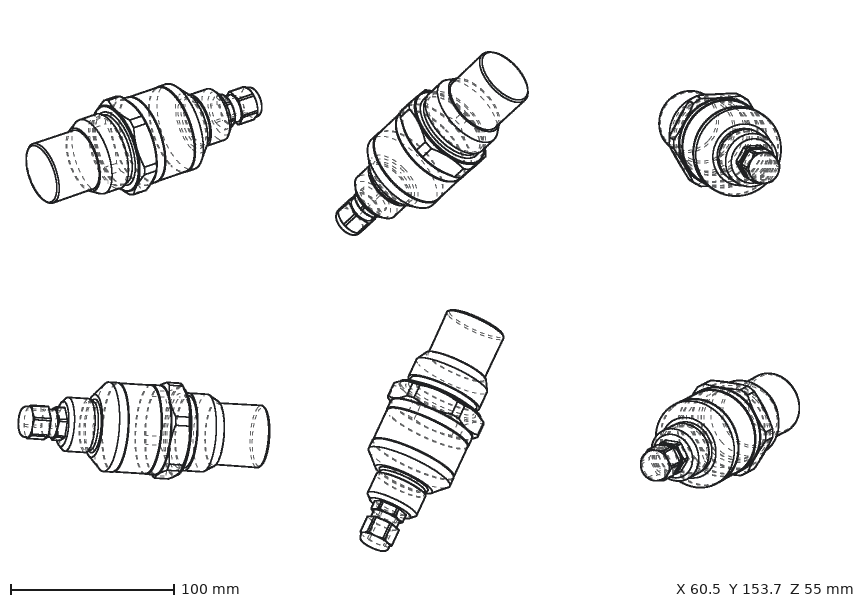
import cadquery as cq
import math

length = 153.7

nose_end = 29.8
taper_end = 36.1
front_collar_end = 48.0
front_neck_end = 51.6
washer_start = 53.0
nut_start = 54.0
nut_end = 66.0
front_band_start = 66.2
front_band_end = 72.1
rear_band_start = 93.8
rear_band_end = 99.5
shoulder_end = 107.7
rear_neck_start = 109.1
rear_collar_start = 111.7
rear_collar_end = 127.7
gland_base_end = 133.3
gland_nut_start = 138.2
gland_nut_end = 149.4
groove_width = 0.5

nose_diameter = 38.0
nose_tip_diameter = 38.5
nose_chamfer = 1.0
taper_small_diameter = 40.5
front_collar_diameter = 47.8
front_neck_diameter = 44.4
band_diameter = 55.0
body_diameter = 54.5
groove_diameter = 54.3
rear_neck_diameter = 30.1
rear_collar_diameter = 33.2
rear_collar_chamfer = 2.8
gland_neck_diameter = 17.2
gland_cap_diameter = 19.0
gland_cap_fillet = 2.9

nut_flats = band_diameter
nut_corner_diameter = 60.5
nut_chamfer_angle = 30.0
gland_flats = gland_cap_diameter
gland_corner_diameter = 21.2
gland_chamfer_angle = 30.0


def frustum(start, end, start_diameter, end_diameter):
    """Solid cone section, coaxial with Y, between two stations."""
    outline = [
        (0, start),
        (start_diameter / 2, start),
        (end_diameter / 2, end),
        (0, end),
    ]
    return cq.Workplane("XY").polyline(outline).close().revolve(360, (0, 0, 0), (0, 1, 0))


def cylinder(start, end, diameter):
    return frustum(start, end, diameter, diameter)


def turned_hexagon(start, end, flats, corner_diameter, angle, chamfer_front):
    """Hexagon with flats facing +Z and -Z, turned-down corners and chamfered ends."""
    across_corners = flats / math.cos(math.pi / 6)
    chamfer_length = (corner_diameter - flats) / 2 * math.tan(math.radians(angle))
    hexagon = (
        cq.Workplane("XZ", origin=(0, start, 0))
        .polygon(6, across_corners)
        .extrude(start - end)
    )
    straight_start = start + chamfer_length if chamfer_front else start
    straight_end = end - chamfer_length
    envelope = cylinder(straight_start, straight_end, corner_diameter).union(
        frustum(straight_end, end, corner_diameter, flats)
    )
    if chamfer_front:
        envelope = envelope.union(frustum(start, straight_start, flats, corner_diameter))
    return hexagon.intersect(envelope)


nose = frustum(0, nose_end, nose_tip_diameter, nose_diameter).faces("<Y").chamfer(nose_chamfer)
front_flare_diameter = front_neck_diameter + 2 * (washer_start - front_neck_end)
front_end = (
    nose
    .union(frustum(nose_end, taper_end, taper_small_diameter, front_collar_diameter))
    .union(cylinder(taper_end, front_collar_end, front_collar_diameter))
    .union(cylinder(front_collar_end, front_neck_end, front_neck_diameter))
    .union(frustum(front_neck_end, washer_start, front_neck_diameter, front_flare_diameter))
)

nut = turned_hexagon(
    nut_start, nut_end, nut_flats, nut_corner_diameter, nut_chamfer_angle, chamfer_front=True
).union(cylinder(washer_start, nut_start, groove_diameter))

shoulder_small_diameter = band_diameter - 2 * (shoulder_end - rear_band_end)
body = (
    cylinder(nut_end, rear_band_start, groove_diameter)
    .union(cylinder(front_band_start, front_band_end, band_diameter))
    .union(cylinder(front_band_end + groove_width, rear_band_start - groove_width, body_diameter))
    .union(cylinder(rear_band_start, rear_band_end, band_diameter))
    .union(frustum(rear_band_end, shoulder_end, band_diameter, shoulder_small_diameter))
)

rear_flare_diameter = rear_neck_diameter + 2 * (rear_neck_start - shoulder_end)
rear_collar = (
    cylinder(rear_collar_start, rear_collar_end, rear_collar_diameter)
    .faces(">Y")
    .chamfer(rear_collar_chamfer)
    .union(cylinder(rear_neck_start, rear_collar_start, rear_neck_diameter))
    .union(frustum(shoulder_end, rear_neck_start, rear_flare_diameter, rear_neck_diameter))
)

gland_base = turned_hexagon(
    rear_collar_end, gland_base_end, gland_flats, gland_corner_diameter,
    gland_chamfer_angle, chamfer_front=False
)
gland_nut = turned_hexagon(
    gland_nut_start, gland_nut_end, gland_flats, gland_corner_diameter,
    gland_chamfer_angle, chamfer_front=False
)
gland_cap = cylinder(gland_nut_end, length, gland_cap_diameter).faces(">Y").edges().fillet(gland_cap_fillet)
gland = (
    gland_base
    .union(cylinder(gland_base_end, gland_nut_start, gland_neck_diameter))
    .union(gland_nut)
    .union(gland_cap)
)

result = front_end.union(nut).union(body).union(rear_collar).union(gland)